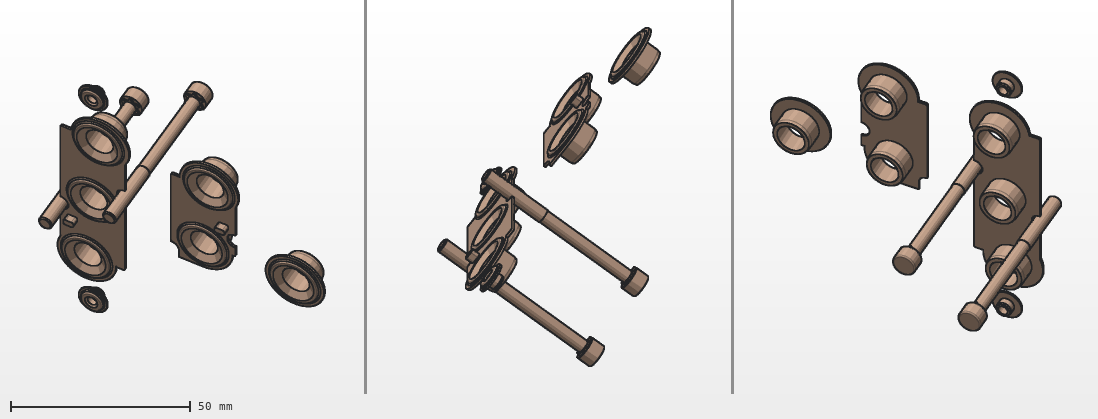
import cadquery as cq
import math


PLATE_T = 0.7
PLATE_HALF_W = 10.2
LOBE_R = 9.25
CORNER_R = 0.6
LONG_TOP_Z = 25.5
END_EDGE_Z = 24.1
LONG_LOBE_DX = 2.3
SHORT_PLATE_X = 35.0
SHORT_STEP_Z = 0.3
LOOSE_CUP_X = 64.0
CUP_DX = 1.9
CUP_PITCH = 24.5
BOLT_X = 10.1
BOLT_Z = 6.5
NOTCH_R = 2.5

CUP_BORE_D = 8.6
CUP_MOUTH_D = 12.9
CUP_MOUTH_DEPTH = 1.5
CUP_BODY_D = 11.6
CUP_END_D = 11.2
CUP_END_LEN = 1.1
CUP_BACK_Y = 5.95
CUP_RIM_BASE_D = 16.5
CUP_RIM_D = 15.4
CUP_RIM_TAPER = 0.3
CUP_RIM_FILLET = 0.42
FRONT_Y = -1.5

STUD_W = 3.3
STUD_H = 1.95
STUD_CORNER_R = 0.7
STUD_LEN = 2.3
STUD_X = 6.4
STUD_Z = 11.1

BUTTON_Z = 41.99
BUTTON_D = 9.0
BUTTON_FLANGE_T = 0.6
BUTTON_RIM_BASE_D = 7.5
BUTTON_RIM_D = 7.0
BUTTON_RIM_TAPER = 0.4
BUTTON_RIM_FILLET = 0.42
BUTTON_BODY_D = 4.6
BUTTON_END_D = 4.2
BUTTON_END_LEN = 0.6
BUTTON_BACK_Y = 2.5
BUTTON_HOLE_D = 2.9
BUTTON_SINK_D = 4.0

BOLT_TIP_Y = -9.9
BOLT_LEN = 54.4
THREAD_LEN = 20.1
THREAD_D = 4.2
TIP_CHAMFER = 0.4
SHANK_D = 3.9
HEAD_D = 7.0
HEAD_H = 4.8
HEAD_FILLET = 0.42
STAR_H = 0.6
STAR_POINTS = 6


def revolve_about_y(half_profile):
    """Solid of revolution about the Y axis from (radius, y) points."""
    return cq.Workplane("XY").polyline(half_profile).close().revolve(360, (0, 0, 0), (0, 1, 0))


def disc(x, z, radius, y_front, y_back):
    """Cylinder along Y."""
    return cq.Workplane("XZ", origin=(x, y_back, z)).circle(radius).extrude(y_back - y_front)


def slab(x0, x1, z0, z1):
    """Rectangle of plate thickness."""
    block = cq.Workplane("XY").box(x1 - x0, PLATE_T, z1 - z0, centered=False)
    return block.translate((x0, -PLATE_T, z0))


def plate_disc(x, z, radius):
    """Disc of plate thickness."""
    return disc(x, z, radius, -PLATE_T, 0)


def round_edge(plate, x, z, radius):
    """Round the plate's through-thickness edge nearest to (x, z)."""
    nearest = cq.NearestToPointSelector((x, -PLATE_T / 2, z))
    return plate.edges("|Y").edges(nearest).fillet(radius)


def cup_outside():
    rim = revolve_about_y([
        (0, 0),
        (CUP_BODY_D / 2, 0),
        (CUP_RIM_BASE_D / 2, -PLATE_T),
        (CUP_RIM_D / 2, -PLATE_T - CUP_RIM_TAPER),
        (CUP_RIM_D / 2, FRONT_Y),
        (0, FRONT_Y),
    ]).faces("<Y").edges().fillet(CUP_RIM_FILLET)
    body = revolve_about_y([
        (0, -PLATE_T / 2),
        (CUP_BODY_D / 2, -PLATE_T / 2),
        (CUP_BODY_D / 2, CUP_BACK_Y - CUP_END_LEN),
        (CUP_END_D / 2, CUP_BACK_Y),
        (0, CUP_BACK_Y),
    ])
    return rim.union(body)


def cup_opening():
    return revolve_about_y([
        (0, FRONT_Y),
        (CUP_MOUTH_D / 2, FRONT_Y),
        (CUP_BORE_D / 2, FRONT_Y + CUP_MOUTH_DEPTH),
        (CUP_BORE_D / 2, CUP_BACK_Y),
        (0, CUP_BACK_Y),
    ])


def add_cups(base, places):
    for x, z in places:
        base = base.union(cup_outside().translate((x, 0, z)))
        base = base.cut(cup_opening().translate((x, 0, z)))
    return base


def stud(x, z):
    post = cq.Workplane("XZ", origin=(x, 0, z)).rect(STUD_W, STUD_H).extrude(PLATE_T + STUD_LEN)
    return post.edges("|Y").fillet(STUD_CORNER_R)


def cut_notches(plate):
    for side in (1, -1):
        plate = plate.cut(plate_disc(side * BOLT_X, side * BOLT_Z, NOTCH_R))
    return plate


def make_long_plate():
    plate = slab(-PLATE_HALF_W, PLATE_HALF_W, -END_EDGE_Z, LONG_TOP_Z)
    plate = round_edge(plate, -PLATE_HALF_W, LONG_TOP_Z, CORNER_R)
    plate = round_edge(plate, PLATE_HALF_W, -END_EDGE_Z, CORNER_R)
    plate = plate.union(plate_disc(LONG_LOBE_DX, CUP_PITCH, LOBE_R))
    plate = plate.union(plate_disc(-CUP_DX, -CUP_PITCH, LOBE_R))
    plate = cut_notches(plate)
    plate = add_cups(plate, [(CUP_DX, CUP_PITCH), (0, 0), (-CUP_DX, -CUP_PITCH)])
    return plate.union(stud(-STUD_X, -STUD_Z))


def make_short_plate():
    plate = slab(-PLATE_HALF_W, PLATE_HALF_W, SHORT_STEP_Z, END_EDGE_Z)
    plate = round_edge(plate, -PLATE_HALF_W, END_EDGE_Z, CORNER_R)
    plate = round_edge(plate, PLATE_HALF_W, SHORT_STEP_Z, CORNER_R)
    plate = plate.union(slab(-PLATE_HALF_W, 0, -BOLT_Z, SHORT_STEP_Z))
    plate = plate.union(slab(NOTCH_R - BOLT_X, 0, -LOBE_R, 0))
    plate = plate.union(plate_disc(0, 0, LOBE_R).intersect(slab(0, LOBE_R, -LOBE_R, LOBE_R)))
    plate = plate.union(plate_disc(CUP_DX, CUP_PITCH, LOBE_R))
    plate = cut_notches(plate)
    plate = add_cups(plate, [(CUP_DX, CUP_PITCH), (0, 0)])
    return plate.union(stud(STUD_X, STUD_Z)).translate((SHORT_PLATE_X, 0, 0))


def make_loose_cup():
    return add_cups(plate_disc(0, 0, LOBE_R), [(0, 0)]).translate((LOOSE_CUP_X, 0, 0))


def make_button(z):
    outside = revolve_about_y([
        (0, FRONT_Y),
        (BUTTON_RIM_D / 2, FRONT_Y),
        (BUTTON_RIM_D / 2, -BUTTON_FLANGE_T - BUTTON_RIM_TAPER),
        (BUTTON_RIM_BASE_D / 2, -BUTTON_FLANGE_T),
        (BUTTON_D / 2, -BUTTON_FLANGE_T),
        (BUTTON_D / 2, 0),
        (BUTTON_BODY_D / 2, 0),
        (BUTTON_BODY_D / 2, BUTTON_BACK_Y - BUTTON_END_LEN),
        (BUTTON_END_D / 2, BUTTON_BACK_Y),
        (0, BUTTON_BACK_Y),
    ]).faces("<Y").edges().fillet(BUTTON_RIM_FILLET)
    sink_depth = (BUTTON_SINK_D - BUTTON_HOLE_D) / 2
    hole = revolve_about_y([
        (0, FRONT_Y),
        (BUTTON_SINK_D / 2, FRONT_Y),
        (BUTTON_HOLE_D / 2, FRONT_Y + sink_depth),
        (BUTTON_HOLE_D / 2, BUTTON_BACK_Y),
        (0, BUTTON_BACK_Y),
    ])
    return outside.cut(hole).translate((0, 0, z))


def star_outline():
    """Six-pointed star of two triangles, its tips on the head's outer circle."""
    tip_r = HEAD_D / 2
    valley_r = tip_r / math.sqrt(3)
    points = []
    for i in range(2 * STAR_POINTS):
        radius = tip_r if i % 2 else valley_r
        angle = math.pi * i / STAR_POINTS
        points.append((radius * math.cos(angle), radius * math.sin(angle)))
    return points


def make_bolt(x, z):
    end_y = BOLT_TIP_Y + BOLT_LEN
    thread_end_y = BOLT_TIP_Y + THREAD_LEN
    head_y = end_y - HEAD_H + STAR_H
    shaft = revolve_about_y([
        (0, BOLT_TIP_Y),
        (THREAD_D / 2 - TIP_CHAMFER, BOLT_TIP_Y),
        (THREAD_D / 2, BOLT_TIP_Y + TIP_CHAMFER),
        (THREAD_D / 2, thread_end_y),
        (SHANK_D / 2, thread_end_y),
        (SHANK_D / 2, head_y),
        (0, head_y),
    ])
    head = disc(0, 0, HEAD_D / 2, head_y, end_y).faces(">Y").edges().fillet(HEAD_FILLET)
    star = cq.Workplane("XZ", origin=(0, head_y, 0)).polyline(star_outline()).close().extrude(STAR_H)
    return head.union(star).union(shaft).translate((x, 0, z))


long_plate = make_long_plate()
short_plate = make_short_plate()
loose_cup = make_loose_cup()
buttons = [make_button(side * BUTTON_Z) for side in (1, -1)]
bolts = [make_bolt(side * BOLT_X, side * BOLT_Z) for side in (1, -1)]

result = cq.Compound.makeCompound([
    long_plate.val(),
    short_plate.val(),
    loose_cup.val(),
    *[button.val() for button in buttons],
    *[bolt.val() for bolt in bolts],
])